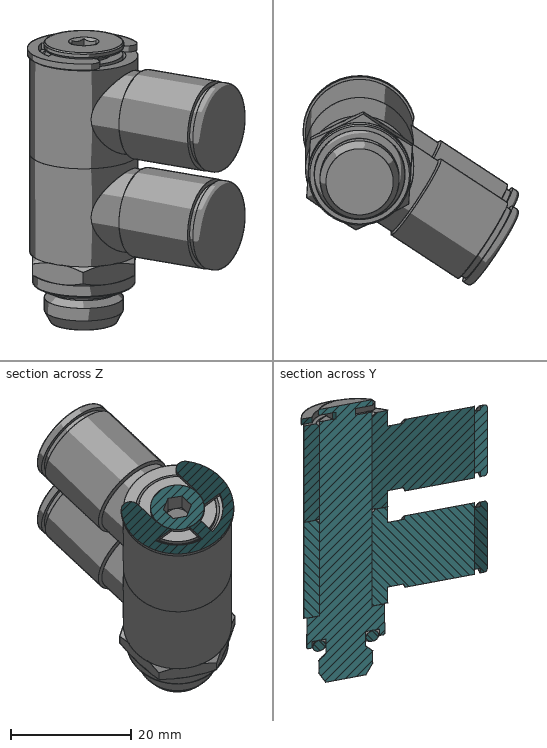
import cadquery as cq
import math


TIP_CONE_TOP_Z = 1.9
THREAD_TOP_Z = 4.05
NECK_BOTTOM_Z = 5.15
FLANGE_BOTTOM_Z = 6.5
HEX_BOTTOM_Z = 8.5
HEX_TOP_Z = 12.0
BOLT_TOP_Z = 48.4

NECK_DIAMETER = 11.2
THREAD_DIAMETER = 13.15
FLANGE_DIAMETER = 17.05
FLANGE_CHAMFER = 0.25
SHAFT_DIAMETER = 13.0
GROOVE_DIAMETER = 9.0
CAP_DIAMETER = 13.3
CAP_HEIGHT = 1.1
CAP_TOP_CHAMFER = 0.25
CAP_TOP_INSET = 0.2
CAP_BOTTOM_CHAMFER = 0.3
CAP_BOTTOM_INSET = 0.15
HEX_ACROSS_FLATS = 17.0
HEX_CHAMFER_ANGLE = 30
SOCKET_ACROSS_FLATS = 4.0
SOCKET_DEPTH = 5.0
SOCKET_MOUTH_DIAMETER = 5.05
DRILL_POINT_ANGLE = 118

ORING_DIAMETER = 15.0
ORING_SECTION_DIAMETER = (ORING_DIAMETER - NECK_DIAMETER) / 2
ORING_BOTTOM_Z = 5.7
ORING_RECESS_DIAMETER = 15.1

BANJO_COUNT = 2
BANJO_DIAMETER = 18.0
BANJO_HEIGHT = 17.0
BORE_MOUTH_DIAMETER = 14.0
PORT_NECK_DIAMETER = 14.1
SLEEVE_DIAMETER = 15.1
SLEEVE_START_X = 11.0
SLEEVE_END_X = 24.55
SLEEVE_CONE_LENGTH = 0.3

RELEASE_NECK_DIAMETER = 13.7
RELEASE_RING_DIAMETER = 15.0
RELEASE_RING_START_X = 25.55
RELEASE_RING_END_X = 27.0
RELEASE_RING_FILLET = 0.65

CLIP_DIAMETER = 18.8
CLIP_TOP_Z = BOLT_TOP_Z - CAP_HEIGHT
CLIP_THICKNESS = 1.05
CLIP_BOTTOM_Z = CLIP_TOP_Z - CLIP_THICKNESS
CLIP_END_FILLET = 1.6
CLIP_SLOT_DIAMETER = 15.1
CLIP_TAB_WIDTH = 2.3
CLIP_SLOT_END_X = -2.6


def cylinder(diameter, bottom_z, top_z):
    return cq.Workplane("XY").workplane(offset=bottom_z).circle(diameter / 2).extrude(top_z - bottom_z)


def hexagon_corner_diameter(across_flats):
    return across_flats / math.cos(math.pi / 6)


def make_bolt_profile():
    """Revolve the round parts of the bolt, from its tip to its cap."""
    neck_radius = NECK_DIAMETER / 2
    thread_radius = THREAD_DIAMETER / 2
    recess_radius = ORING_RECESS_DIAMETER / 2
    flange_radius = FLANGE_DIAMETER / 2
    shaft_radius = SHAFT_DIAMETER / 2
    groove_radius = GROOVE_DIAMETER / 2
    cap_radius = CAP_DIAMETER / 2
    recess_top_z = ORING_BOTTOM_Z + ORING_SECTION_DIAMETER
    points = [
        (0, 0),
        (neck_radius, 0),
        (thread_radius, TIP_CONE_TOP_Z),
        (thread_radius, THREAD_TOP_Z),
        (neck_radius, NECK_BOTTOM_Z),
        (neck_radius, recess_top_z),
        (recess_radius, recess_top_z),
        (recess_radius, FLANGE_BOTTOM_Z),
        (flange_radius - FLANGE_CHAMFER, FLANGE_BOTTOM_Z),
        (flange_radius, FLANGE_BOTTOM_Z + FLANGE_CHAMFER),
        (flange_radius, HEX_BOTTOM_Z),
        (shaft_radius, HEX_BOTTOM_Z),
        (shaft_radius, CLIP_BOTTOM_Z),
        (groove_radius, CLIP_BOTTOM_Z),
        (groove_radius, CLIP_TOP_Z),
        (cap_radius - CAP_BOTTOM_INSET, CLIP_TOP_Z),
        (cap_radius, CLIP_TOP_Z + CAP_BOTTOM_CHAMFER),
        (cap_radius, BOLT_TOP_Z - CAP_TOP_CHAMFER),
        (cap_radius - CAP_TOP_INSET, BOLT_TOP_Z),
        (0, BOLT_TOP_Z),
    ]
    return cq.Workplane("XZ").polyline(points).close().revolve(360, (0, 0, 0), (0, 1, 0))


def make_hexagon():
    """Hexagon with flats facing +Y and -Y, its corners chamfered at both ends."""
    corner_radius = hexagon_corner_diameter(HEX_ACROSS_FLATS) / 2
    flat_radius = HEX_ACROSS_FLATS / 2
    chamfer_height = (corner_radius - flat_radius) * math.tan(math.radians(HEX_CHAMFER_ANGLE))
    prism = (
        cq.Workplane("XY")
        .workplane(offset=HEX_BOTTOM_Z)
        .polygon(6, 2 * corner_radius)
        .extrude(HEX_TOP_Z - HEX_BOTTOM_Z)
    )
    envelope_points = [
        (0, HEX_BOTTOM_Z),
        (flat_radius, HEX_BOTTOM_Z),
        (corner_radius, HEX_BOTTOM_Z + chamfer_height),
        (corner_radius, HEX_TOP_Z - chamfer_height),
        (flat_radius, HEX_TOP_Z),
        (0, HEX_TOP_Z),
    ]
    envelope = cq.Workplane("XZ").polyline(envelope_points).close().revolve(360, (0, 0, 0), (0, 1, 0))
    return prism.intersect(envelope)


def make_socket():
    """Cutter for the hexagon socket, its conical bottom and its 45-degree countersink."""
    corner_diameter = hexagon_corner_diameter(SOCKET_ACROSS_FLATS)
    floor_z = BOLT_TOP_Z - SOCKET_DEPTH
    drill_radius = SOCKET_ACROSS_FLATS / 2
    point_depth = drill_radius / math.tan(math.radians(DRILL_POINT_ANGLE / 2))
    mouth_radius = SOCKET_MOUTH_DIAMETER / 2
    hexagon = cq.Workplane("XY").workplane(offset=floor_z).polygon(6, corner_diameter).extrude(SOCKET_DEPTH)
    drill_point = cq.Workplane(
        cq.Solid.makeCone(0, drill_radius, point_depth, pnt=cq.Vector(0, 0, floor_z - point_depth))
    )
    countersink = cq.Workplane(
        cq.Solid.makeCone(0, mouth_radius, mouth_radius, pnt=cq.Vector(0, 0, BOLT_TOP_Z - mouth_radius))
    )
    return hexagon.union(drill_point).union(countersink)


def make_bolt():
    return make_bolt_profile().union(make_hexagon()).cut(make_socket())


def make_oring():
    section_radius = ORING_SECTION_DIAMETER / 2
    ring_radius = ORING_DIAMETER / 2 - section_radius
    return (
        cq.Workplane("XZ")
        .center(ring_radius, ORING_BOTTOM_Z + section_radius)
        .circle(section_radius)
        .revolve(360, (-ring_radius, 0, 0), (-ring_radius, 1, 0))
    )


def make_port():
    """Solid port along +X, a neck that widens into a sleeve through a short cone."""
    neck_radius = PORT_NECK_DIAMETER / 2
    sleeve_radius = SLEEVE_DIAMETER / 2
    points = [
        (0, 0),
        (0, neck_radius),
        (SLEEVE_START_X, neck_radius),
        (SLEEVE_START_X + SLEEVE_CONE_LENGTH, sleeve_radius),
        (SLEEVE_END_X, sleeve_radius),
        (SLEEVE_END_X, 0),
    ]
    return cq.Workplane("XZ").polyline(points).close().revolve(360, (0, 0, 0), (1, 0, 0))


def make_banjo(bottom_z):
    """Round body with a port and its sleeve on +X, bored for the bolt."""
    top_z = bottom_z + BANJO_HEIGHT
    mid_z = bottom_z + BANJO_HEIGHT / 2
    mouth_depth = (BORE_MOUTH_DIAMETER - SHAFT_DIAMETER) / 2
    barrel = cylinder(BANJO_DIAMETER, bottom_z, top_z)
    port = make_port().translate((0, 0, mid_z))
    bore = cylinder(SHAFT_DIAMETER, bottom_z, top_z)
    bore_mouth = cq.Workplane(
        cq.Solid.makeCone(
            SHAFT_DIAMETER / 2, BORE_MOUTH_DIAMETER / 2, mouth_depth, pnt=cq.Vector(0, 0, top_z - mouth_depth)
        )
    )
    return barrel.union(port).cut(bore).cut(bore_mouth)


def make_release_ring(port_z):
    """Rounded push ring with a narrower neck that meets the end of the sleeve."""
    neck = (
        cq.Workplane("YZ", origin=(SLEEVE_END_X, 0, port_z))
        .circle(RELEASE_NECK_DIAMETER / 2)
        .extrude(RELEASE_RING_START_X - SLEEVE_END_X)
    )
    ring = (
        cq.Workplane("YZ", origin=(RELEASE_RING_START_X, 0, port_z))
        .circle(RELEASE_RING_DIAMETER / 2)
        .extrude(RELEASE_RING_END_X - RELEASE_RING_START_X)
        .faces(">X")
        .edges()
        .fillet(RELEASE_RING_FILLET)
    )
    return neck.union(ring)


def make_clip_disc():
    """Disc with a U-shaped opening to +X that is as wide as the bolt groove, and rounded ends."""
    opening_length = CLIP_DIAMETER / 2
    disc = cylinder(CLIP_DIAMETER, CLIP_BOTTOM_Z, CLIP_TOP_Z)
    seat = cylinder(GROOVE_DIAMETER, CLIP_BOTTOM_Z, CLIP_TOP_Z)
    opening = (
        cq.Workplane("XY", origin=(opening_length / 2, 0, CLIP_BOTTOM_Z))
        .rect(opening_length, GROOVE_DIAMETER)
        .extrude(CLIP_THICKNESS)
    )
    open_disc = disc.cut(seat.union(opening))
    return open_disc.edges("|Z").edges(">X").fillet(CLIP_END_FILLET)


def make_clip_slots():
    """Cutter for two arc slots, which leave a tab opposite the opening."""
    slot_radius = CLIP_SLOT_DIAMETER / 2
    slot_disc = cylinder(CLIP_SLOT_DIAMETER, CLIP_BOTTOM_Z, CLIP_TOP_Z)
    slot_side = (
        cq.Workplane("XY", origin=(CLIP_SLOT_END_X - slot_radius / 2, 0, CLIP_BOTTOM_Z))
        .rect(slot_radius, CLIP_SLOT_DIAMETER)
        .extrude(CLIP_THICKNESS)
    )
    tab = (
        cq.Workplane("XY", origin=(0, 0, CLIP_BOTTOM_Z))
        .rect(CLIP_DIAMETER, CLIP_TAB_WIDTH)
        .extrude(CLIP_THICKNESS)
    )
    return slot_disc.intersect(slot_side).cut(tab)


def make_clip():
    return make_clip_disc().cut(make_clip_slots())


bolt = make_bolt()
oring = make_oring()
clip = make_clip()

banjos = []
release_rings = []
for index in range(BANJO_COUNT):
    banjo_bottom_z = HEX_TOP_Z + index * BANJO_HEIGHT
    banjos.append(make_banjo(banjo_bottom_z))
    release_rings.append(make_release_ring(banjo_bottom_z + BANJO_HEIGHT / 2))

result = cq.Compound.makeCompound(
    [
        bolt.val(),
        oring.val(),
        clip.val(),
        *[banjo.val() for banjo in banjos],
        *[release_ring.val() for release_ring in release_rings],
    ]
)